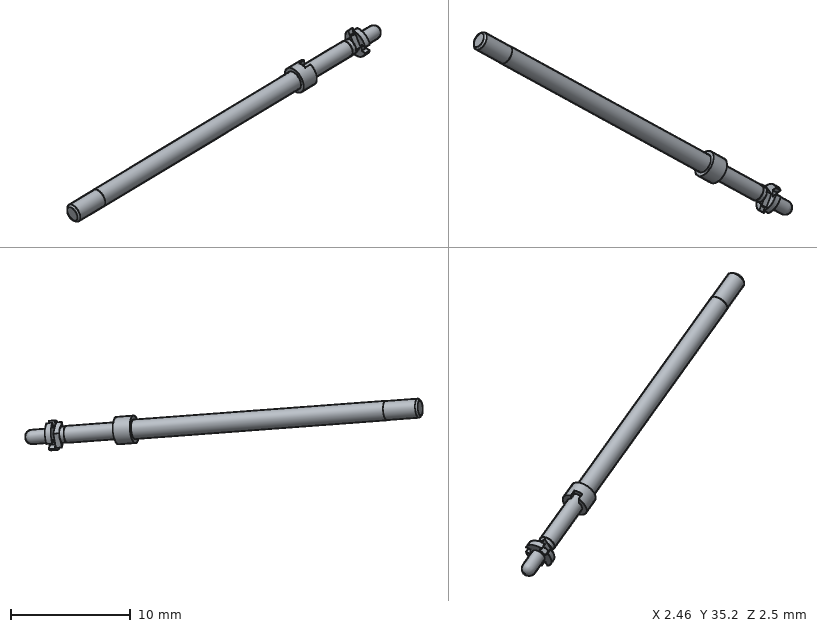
import cadquery as cq
import math

TOTAL_LENGTH = 35.2
TIP_Y = TOTAL_LENGTH / 2

RING_START = 2.2
RING_END = 2.7
KEY_END = 3.25
NECK_END = 3.65
COLLAR_START = 8.2
COLLAR_END = 9.7
TAIL_START = 32.17

NOSE_DIAMETER = 1.23
NECK_DIAMETER = 1.37
SHAFT_DIAMETER = 1.45
COLLAR_DIAMETER = 2.32
BARREL_DIAMETER = 1.65
TAIL_DIAMETER = 1.62

NOSE_ROUNDING = 0.6
TAIL_CHAMFER = 0.18

RING_DIAMETER = 2.5
RING_SLOT_COUNT = 3
RING_SLOT_WIDTH = 0.65
RING_SLOT_FLOOR = 0.77

KEY_FACE_SLOPE = 60
KEY_HALF_WIDTH = 0.65
KEY_HALF_HEIGHT = KEY_HALF_WIDTH * math.tan(math.radians(KEY_FACE_SLOPE))

KEYWAY_WIDTH = 0.75
KEYWAY_LENGTH = 0.6


def section_plane(distance):
    """Plane across the pin, with its local axes along X and Z and its normal towards the tail."""
    return cq.Plane(
        origin=(0, TIP_Y - distance, 0), xDir=(1, 0, 0), normal=(0, -1, 0)
    )


def rod(start, end, diameter):
    """Round section between two distances from the nose tip."""
    return cq.Workplane(section_plane(start)).circle(diameter / 2).extrude(end - start)


def make_nose():
    return rod(0, RING_END, NOSE_DIAMETER).faces(">Y").edges().fillet(NOSE_ROUNDING)


def make_ring():
    """Disc with flat-bottomed slots spaced evenly around its rim, the first at +X."""
    thickness = RING_END - RING_START
    slot_depth = RING_DIAMETER / 2 - RING_SLOT_FLOOR
    slots = (
        cq.Workplane(section_plane(RING_START))
        .polarArray(RING_SLOT_FLOOR + slot_depth / 2, 0, 360, RING_SLOT_COUNT)
        .rect(slot_depth, RING_SLOT_WIDTH)
        .extrude(thickness)
    )
    return rod(RING_START, RING_END, RING_DIAMETER).cut(slots)


def make_key():
    corners = [
        (KEY_HALF_WIDTH, 0),
        (0, KEY_HALF_HEIGHT),
        (-KEY_HALF_WIDTH, 0),
        (0, -KEY_HALF_HEIGHT),
    ]
    return (
        cq.Workplane(section_plane(RING_END))
        .polyline(corners)
        .close()
        .extrude(KEY_END - RING_END)
    )


def make_collar():
    """Collar with a keyway open at the top and at the nose-side face."""
    keyway = (
        cq.Workplane(section_plane(COLLAR_START))
        .center(0, COLLAR_DIAMETER / 4)
        .rect(KEYWAY_WIDTH, COLLAR_DIAMETER / 2)
        .extrude(KEYWAY_LENGTH)
    )
    return rod(COLLAR_START, COLLAR_END, COLLAR_DIAMETER).cut(keyway)


def make_tail():
    tail = rod(TAIL_START, TOTAL_LENGTH, TAIL_DIAMETER)
    return tail.faces("<Y").edges().chamfer(TAIL_CHAMFER)


result = (
    make_nose()
    .union(make_ring())
    .union(make_key())
    .union(rod(KEY_END, NECK_END, NECK_DIAMETER))
    .union(rod(NECK_END, COLLAR_END, SHAFT_DIAMETER))
    .union(make_collar())
    .union(rod(COLLAR_END, TAIL_START, BARREL_DIAMETER))
    .union(make_tail())
)